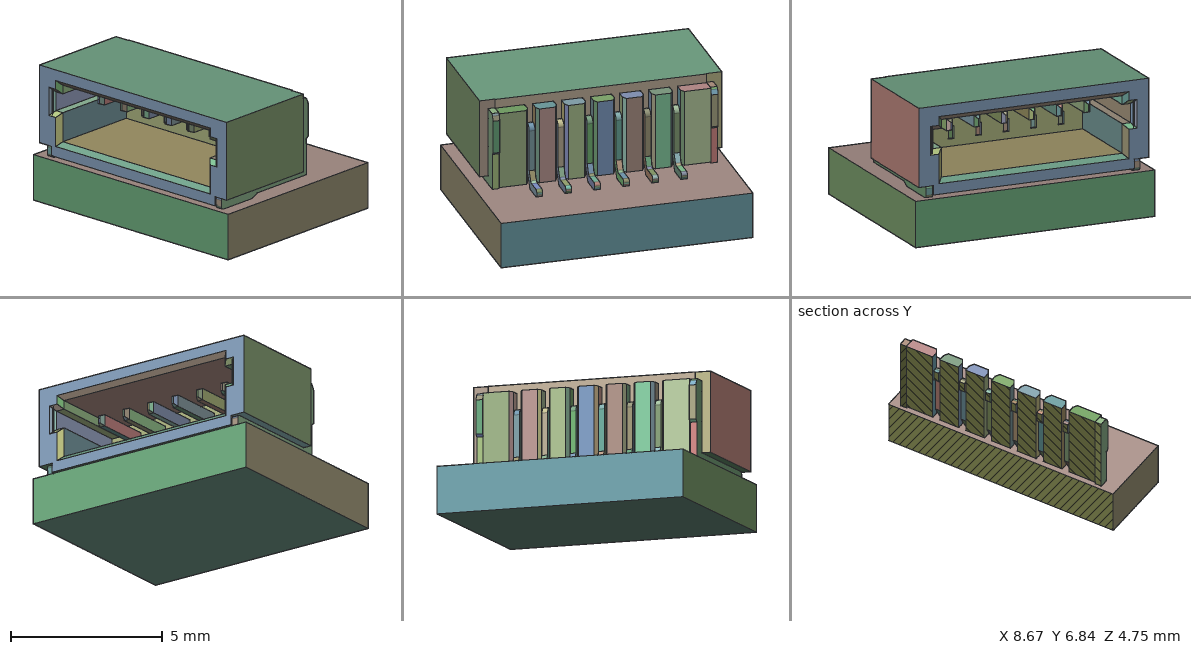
import math

import cadquery as cq

BOARD_LENGTH = 8.67
BOARD_WIDTH = 6.84
BOARD_THICKNESS = 1.595

CORE_HALF = 3.64
SHOULDER_HALF = 4.17
HOUSING_FRONT = -3.31
CORE_REAR = 0.48
SHOULDER_REAR = 0.44
CORE_BOTTOM = 0.1
SHOULDER_BOTTOM = 0.425
HOUSING_TOP = 3.15

BLOCK_REAR = 0.97
BLOCK_BOTTOM = 0.19
BLOCK_TOP = 2.835

MOUTH_HALF = 3.44
MOUTH_BOTTOM = 0.47
MOUTH_TOP = 2.775
NOTCH_HALF = 3.745
NOTCH_BOTTOM = 1.48
NOTCH_TOP = 2.47
LEAD_IN = 0.165
CAVITY_BACK = -0.04

CONTACT_COUNT = 6
PITCH = 1.0
CONTACT_WIDTH = 0.2
LEG_THICKNESS = 0.2
LEG_REAR = 0.88
LEG_FRONT = LEG_REAR - LEG_THICKNESS
PIN_BOTTOM = 1.85
PIN_TOP = 2.245
PIN_TIP = -2.25
TIP_LENGTH = 0.17
TIP_INSET = 0.07
FOOT_REAR = 1.73
FOOT_HEIGHT = 0.27
FOOT_ROUND = 0.1
HEEL_FRONT = 0.95
RISER_ANGLE = 61.0
RISER_TOP = 0.62
BEND_RADIUS = 0.11
HOOK_REAR_RADIUS = LEG_THICKNESS
HOOK_FRONT_RADIUS = 0.26

SLOT_WIDTH = 0.27
FLARE_WIDTH = 0.45
FLARE_DEPTH = 0.16
POCKET_BOTTOM = 0.885
POCKET_TOP = 1.32
POCKET_DEPTH = 0.09

TAB_THICKNESS = 0.23
TAB_FRONT = HOUSING_FRONT + 0.07
TAB_REAR = 1.01
TAB_BOTTOM = 0.13
TAB_RELIEF_REAR = 0.91
RELIEF_BOTTOM = 1.38
RELIEF_TOP = 1.465
TAB_SOLE_REAR = -1.75
TAB_SOLE_RISE_END = -1.47
TAB_TOE_ROUND = 0.095
TAB_CORNER = [(TAB_REAR, 2.61), (0.94, 2.77), (0.88, BLOCK_TOP)]

CONTACT_POSITIONS = [(i - (CONTACT_COUNT - 1) / 2) * PITCH for i in range(CONTACT_COUNT)]
DIAGONAL = math.sqrt(0.5)


def box(x_range, y_range, z_range):
    """Box between the given limits on each axis."""
    limits = (x_range, y_range, z_range)
    sizes = [high - low for low, high in limits]
    corner = [low for low, high in limits]
    return cq.Workplane("XY").box(*sizes, centered=False).translate(tuple(corner))


def mouth_outline(inset):
    """Cavity outline in X and Z, moved inwards by the inset."""
    half = MOUTH_HALF - inset
    notch = NOTCH_HALF - inset
    bottom = MOUTH_BOTTOM + inset
    top = MOUTH_TOP - inset
    notch_bottom = NOTCH_BOTTOM + inset
    notch_top = NOTCH_TOP - inset
    right = [
        (half, bottom),
        (half, notch_bottom),
        (notch, notch_bottom),
        (notch, notch_top),
        (half, notch_top),
        (half, top),
    ]
    left = [(-x, z) for x, z in reversed(right)]
    return right + left


def make_cavity():
    """Straight cavity with its lead-in at the mouth."""
    straight = (
        cq.Workplane("XZ", origin=(0, CAVITY_BACK, 0))
        .polyline(mouth_outline(LEAD_IN))
        .close()
        .extrude(CAVITY_BACK - HOUSING_FRONT)
    )
    lead_in = (
        cq.Workplane("XZ", origin=(0, HOUSING_FRONT, 0))
        .polyline(mouth_outline(0))
        .close()
        .workplane(offset=-LEAD_IN)
        .polyline(mouth_outline(LEAD_IN))
        .close()
        .loft(ruled=True)
    )
    return straight.union(lead_in)


def make_slot(x):
    """Contact slot through the full height of the rear block."""
    half = SLOT_WIDTH / 2
    flare = FLARE_WIDTH / 2
    flare_start = BLOCK_REAR - FLARE_DEPTH
    points = [
        (x - half, CORE_REAR),
        (x + half, CORE_REAR),
        (x + half, flare_start),
        (x + flare, BLOCK_REAR),
        (x - flare, BLOCK_REAR),
        (x - half, flare_start),
    ]
    return (
        cq.Workplane("XY", origin=(0, 0, BLOCK_BOTTOM))
        .polyline(points)
        .close()
        .extrude(BLOCK_TOP - BLOCK_BOTTOM)
    )


def make_tail(x):
    """Contact tail: foot on the board, sloping riser, upright leg and hook into the core."""
    slope = math.tan(math.radians(RISER_ANGLE))
    bend_rise = BEND_RADIUS * (1 - math.cos(math.radians(RISER_ANGLE)))
    bend_run = BEND_RADIUS * math.sin(math.radians(RISER_ANGLE))
    half_angle = math.radians(RISER_ANGLE / 2)
    bend_end_y = LEG_REAR + (RISER_TOP - FOOT_HEIGHT - bend_rise) / slope
    bend_start_y = bend_end_y + bend_run
    bend_mid = (
        bend_start_y - BEND_RADIUS * math.sin(half_angle),
        FOOT_HEIGHT + BEND_RADIUS * (1 - math.cos(half_angle)),
    )
    tip_centre_y = FOOT_REAR - FOOT_ROUND
    round_offset = FOOT_ROUND * DIAGONAL
    hook_centre_z = PIN_TOP - HOOK_REAR_RADIUS
    hook_mid = (
        LEG_FRONT + HOOK_REAR_RADIUS * DIAGONAL,
        hook_centre_z + HOOK_REAR_RADIUS * DIAGONAL,
    )

    def front_hook_point(y):
        """Point at the given Y on the arc that dips from the hook's crest."""
        drop = HOOK_FRONT_RADIUS - math.sqrt(HOOK_FRONT_RADIUS**2 - (LEG_FRONT - y) ** 2)
        return (y, PIN_TOP - drop)

    return (
        cq.Workplane("YZ", origin=(x - CONTACT_WIDTH / 2, 0, 0))
        .moveTo(HEEL_FRONT, 0)
        .lineTo(tip_centre_y, 0)
        .threePointArc((tip_centre_y + round_offset, FOOT_ROUND - round_offset), (FOOT_REAR, FOOT_ROUND))
        .lineTo(FOOT_REAR, FOOT_HEIGHT - FOOT_ROUND)
        .threePointArc(
            (tip_centre_y + round_offset, FOOT_HEIGHT - FOOT_ROUND + round_offset),
            (tip_centre_y, FOOT_HEIGHT),
        )
        .lineTo(bend_start_y, FOOT_HEIGHT)
        .threePointArc(bend_mid, (bend_end_y, FOOT_HEIGHT + bend_rise))
        .lineTo(LEG_REAR, RISER_TOP)
        .lineTo(LEG_REAR, hook_centre_z)
        .threePointArc(hook_mid, (LEG_FRONT, PIN_TOP))
        .threePointArc(front_hook_point((LEG_FRONT + CORE_REAR) / 2), front_hook_point(CORE_REAR))
        .lineTo(CORE_REAR, PIN_BOTTOM)
        .lineTo(LEG_FRONT, PIN_BOTTOM)
        .lineTo(LEG_FRONT, (HEEL_FRONT - LEG_FRONT) * slope)
        .close()
        .extrude(CONTACT_WIDTH)
    )


def make_pin(x):
    """Contact pin in the cavity, with a tapered tip."""
    height = PIN_TOP - PIN_BOTTOM
    shaft_end = PIN_TIP + TIP_LENGTH
    taper = math.degrees(math.atan(TIP_INSET / TIP_LENGTH))
    middle_z = (PIN_TOP + PIN_BOTTOM) / 2
    shaft = (
        cq.Workplane("XZ", origin=(x, CAVITY_BACK, middle_z))
        .rect(CONTACT_WIDTH, height)
        .extrude(CAVITY_BACK - shaft_end)
    )
    tip = (
        cq.Workplane("XZ", origin=(x, shaft_end, middle_z))
        .rect(CONTACT_WIDTH, height)
        .extrude(TIP_LENGTH, taper=taper)
    )
    return shaft.union(tip)


def make_pocket(x):
    """Shallow pocket in the cavity's back wall, below a pin."""
    half = CONTACT_WIDTH / 2
    return box(
        (x - half, x + half),
        (CAVITY_BACK, CAVITY_BACK + POCKET_DEPTH),
        (POCKET_BOTTOM, POCKET_TOP),
    )


def make_tab(side):
    """Solder tab on the left (-1) or right (+1): rear plate, arm in the wall and foot below it."""
    inner_x = side * CORE_HALF
    outer_x = side * (CORE_HALF + TAB_THICKNESS)
    x_range = (min(inner_x, outer_x), max(inner_x, outer_x))
    toe_y = TAB_FRONT + TAB_TOE_ROUND
    round_y = toe_y - TAB_TOE_ROUND * DIAGONAL
    round_z = TAB_TOE_ROUND * (1 - DIAGONAL)
    plate = (
        cq.Workplane("YZ", origin=(x_range[0], 0, 0))
        .moveTo(toe_y, 0)
        .lineTo(TAB_SOLE_REAR, 0)
        .lineTo(TAB_SOLE_RISE_END, TAB_BOTTOM)
        .lineTo(TAB_RELIEF_REAR, TAB_BOTTOM)
        .lineTo(TAB_RELIEF_REAR, RELIEF_BOTTOM)
        .lineTo(TAB_REAR, RELIEF_TOP)
        .polyline(TAB_CORNER, includeCurrent=True)
        .lineTo(SHOULDER_REAR, BLOCK_TOP)
        .lineTo(SHOULDER_REAR, SHOULDER_BOTTOM)
        .lineTo(toe_y, SHOULDER_BOTTOM)
        .threePointArc((round_y, SHOULDER_BOTTOM - round_z), (TAB_FRONT, SHOULDER_BOTTOM - TAB_TOE_ROUND))
        .lineTo(TAB_FRONT, TAB_TOE_ROUND)
        .threePointArc((round_y, round_z), (toe_y, 0))
        .close()
        .extrude(TAB_THICKNESS)
    )
    arm = box(x_range, (TAB_FRONT, SHOULDER_REAR), (NOTCH_BOTTOM, NOTCH_TOP))
    return plate.union(arm)


def make_board():
    """Plain circuit board."""
    return (
        cq.Workplane("XY")
        .rect(BOARD_LENGTH, BOARD_WIDTH)
        .extrude(-BOARD_THICKNESS)
    )


def make_housing(tabs):
    """Housing with its contacts, leaving room for the tabs in its walls."""
    core = box((-CORE_HALF, CORE_HALF), (HOUSING_FRONT, CORE_REAR), (CORE_BOTTOM, HOUSING_TOP))
    shoulders = box(
        (-SHOULDER_HALF, SHOULDER_HALF),
        (HOUSING_FRONT, SHOULDER_REAR),
        (SHOULDER_BOTTOM, HOUSING_TOP),
    )
    block = box((-CORE_HALF, CORE_HALF), (CORE_REAR, BLOCK_REAR), (BLOCK_BOTTOM, BLOCK_TOP))
    housing = core.union(shoulders).union(block).cut(make_cavity())
    for x in CONTACT_POSITIONS:
        housing = housing.cut(make_slot(x)).cut(make_pocket(x))
        housing = housing.union(make_tail(x)).union(make_pin(x))
    for tab in tabs:
        housing = housing.cut(tab)
    return housing


board = make_board()
tabs = [make_tab(side) for side in (-1, 1)]
housing = make_housing(tabs)

result = cq.Compound.makeCompound([board.val(), housing.val(), *[tab.val() for tab in tabs]])